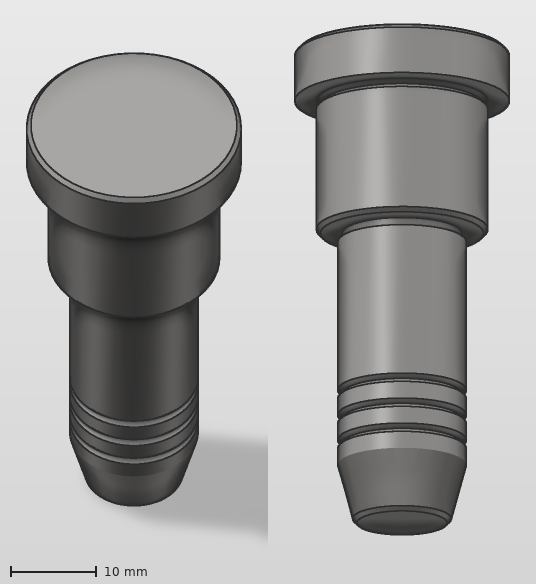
import cadquery as cq
import math

total_height = 57.0
head_radius = 25.0 / 2
body_radius = 20.0 / 2
shank_radius = 15.0 / 2

edge_size = 0.5
groove_width = 2 * edge_size

head_bottom = total_height - 6.0
body_bottom = 35.0
relief_height = groove_width

groove_count = 3
lowest_groove_bottom = 9.0
groove_pitch = 3.0
taper_height = 7.0
taper_angle = math.radians(15)


def turned(outline):
    """Revolve a closed (radius, height) outline about the Z axis."""
    return cq.Workplane("XZ").polyline(outline).close().revolve(360, (0, 0), (0, 1))


def cylinder(radius, bottom, top):
    return cq.Workplane("XY").workplane(offset=bottom).circle(radius).extrude(top - bottom)


def v_groove(radius, bottom):
    """Ring with a 90 degree V section, cut into a cylinder of the given radius."""
    return turned([
        (radius, bottom),
        (radius - edge_size, bottom + groove_width / 2),
        (radius, bottom + groove_width),
    ])


def make_head():
    return cylinder(head_radius, head_bottom, total_height).faces(">Z").chamfer(edge_size)


def make_body():
    body = cylinder(body_radius, body_bottom, head_bottom).faces("<Z").chamfer(edge_size)
    return body.cut(v_groove(body_radius, head_bottom - groove_width))


def make_shank():
    shank_top = body_bottom - relief_height
    shank = cylinder(shank_radius, taper_height, shank_top)
    for index in range(groove_count):
        shank = shank.cut(v_groove(shank_radius, lowest_groove_bottom + index * groove_pitch))
    relief = cylinder(shank_radius - edge_size, shank_top, body_bottom)
    return shank.union(relief)


def make_tip():
    """Tapered lead-in with a chamfered end."""
    end_radius = shank_radius - (taper_height - edge_size) * math.tan(taper_angle)
    return turned([
        (0, 0),
        (end_radius - edge_size, 0),
        (end_radius, edge_size),
        (shank_radius, taper_height),
        (0, taper_height),
    ])


result = make_head().union(make_body()).union(make_shank()).union(make_tip())